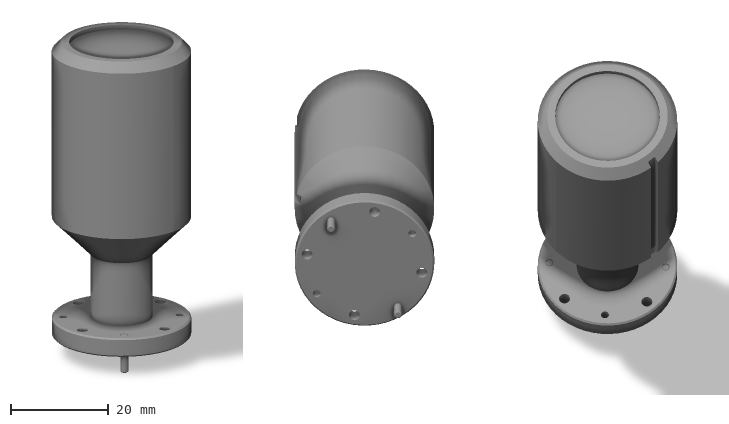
import cadquery as cq
import math

total_height = 67.4
outer_radius = 14.3

flange_bottom = 4.0
flange_thickness = 4.05
flange_top = flange_bottom + flange_thickness
flange_chamfer = 0.35

neck_radius = 6.3
cone_bottom = 21.6
cone_top = cone_bottom + outer_radius - neck_radius
rim_chamfer = 1.95
window_radius = 10.7
window_depth = 1.0

groove_width = 1.9
groove_depth = 1.0

hole_circle_radius = 11.9
screw_hole_diameter = 2.2
pin_diameter = 1.6
pin_chamfer = 0.2
pin_angles = (135, 315)
empty_dowel_angles = (45, 225)
screw_angles = (0, 90, 180, 270)


def on_hole_circle(angle):
    """Point on the flange hole circle at an angle in degrees from +X."""
    turn = math.radians(angle)
    return (hole_circle_radius * math.cos(turn), hole_circle_radius * math.sin(turn))


def flange_holes(angles, diameter):
    """Cutters that pass through the flange."""
    return (
        cq.Workplane("XY", origin=(0, 0, flange_bottom))
        .pushPoints([on_hole_circle(angle) for angle in angles])
        .circle(diameter / 2)
        .extrude(flange_thickness)
    )


def make_can():
    """Neck, flare and chamfered cylinder, with a recessed window and a groove."""
    can = (
        cq.Workplane("XZ")
        .moveTo(0, flange_top)
        .lineTo(neck_radius, flange_top)
        .lineTo(neck_radius, cone_bottom)
        .lineTo(outer_radius, cone_top)
        .lineTo(outer_radius, total_height - rim_chamfer)
        .lineTo(outer_radius - rim_chamfer, total_height)
        .lineTo(0, total_height)
        .close()
        .revolve(360, (0, 0, 0), (0, 1, 0))
    )
    window = (
        cq.Workplane("XY", origin=(0, 0, total_height - window_depth))
        .circle(window_radius)
        .extrude(window_depth)
    )
    groove = (
        cq.Workplane("XY", origin=(0, outer_radius - groove_depth, cone_bottom))
        .box(groove_width, 2 * groove_depth, total_height - cone_bottom, centered=(True, False, False))
    )
    return can.cut(window).cut(groove)


def make_flange():
    """Round flange with screw holes and dowel holes."""
    flange = (
        cq.Workplane("XY", origin=(0, 0, flange_bottom))
        .circle(outer_radius)
        .extrude(flange_thickness)
        .edges()
        .chamfer(flange_chamfer)
    )
    screw_holes = flange_holes(screw_angles, screw_hole_diameter)
    dowel_holes = flange_holes(pin_angles + empty_dowel_angles, pin_diameter)
    return flange.cut(screw_holes).cut(dowel_holes)


def make_pin(angle):
    """Dowel pin, flush with the flange top and standing out below it."""
    return (
        cq.Workplane("XY")
        .center(*on_hole_circle(angle))
        .circle(pin_diameter / 2)
        .extrude(flange_top)
        .edges("%CIRCLE")
        .chamfer(pin_chamfer)
    )


housing = make_flange().union(make_can())
pins = [make_pin(angle).val() for angle in pin_angles]

result = cq.Compound.makeCompound([housing.val(), *pins])